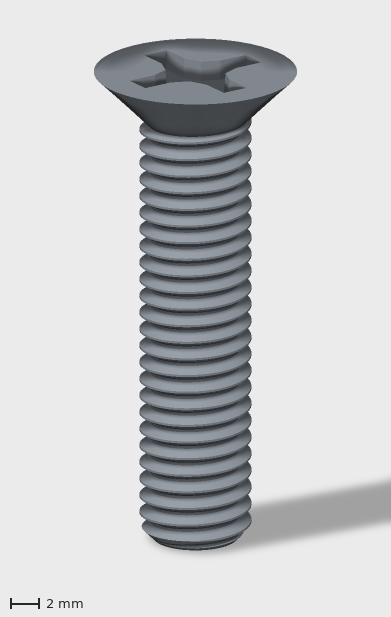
import cadquery as cq
import math

length = 35.0
head_radius = 7.25
thread_radius = 4.0

pitches_in_length = 28
pitch = length / pitches_in_length
crest_flat = pitch / 8
root_flat = pitch / 6
flank_angle = math.radians(30)
thread_depth = (pitch - crest_flat - root_flat) / 2 / math.tan(flank_angle)
root_radius = thread_radius - thread_depth
first_crest_height = 1.1
ridge_inset = 0.1

head_height = head_radius - root_radius
head_base = length - head_height
shank_top = head_base + 0.88
tip_chamfer = 0.98
trim_margin = 0.7

recess_depth = 1.4
arm_reach = 5.0
arm_half_width = 0.98
arm_root = 2.85
inner_corner = 1.55
wall_lean = 0.088


def thread_ridge():
    """Helical ridge that runs past both ends of the shank."""
    start = first_crest_height - 2 * pitch
    turns = math.ceil((shank_top + pitch - start) / pitch)
    helix = cq.Wire.makeHelix(pitch, turns * pitch, root_radius).translate(cq.Vector(0, 0, start))
    half_crest = crest_flat / 2
    half_foot = (pitch - root_flat) / 2 + ridge_inset * math.tan(flank_angle)
    foot_radius = root_radius - ridge_inset
    profile = (
        cq.Workplane("XZ")
        .polyline([
            (foot_radius, start - half_foot),
            (thread_radius, start - half_crest),
            (thread_radius, start + half_crest),
            (foot_radius, start + half_foot),
        ])
        .close()
    )
    return profile.sweep(cq.Workplane(helix), isFrenet=True)


def threaded_shank():
    """Core and ridge, trimmed to length with a 45 degree chamfer at the tip."""
    overrun = 4 * pitch
    core = (
        cq.Workplane("XY")
        .workplane(offset=-overrun)
        .circle(root_radius)
        .extrude(shank_top + 2 * overrun)
    )
    trim = (
        cq.Workplane("XY")
        .circle(thread_radius + trim_margin)
        .extrude(shank_top)
        .faces("<Z")
        .chamfer(tip_chamfer + trim_margin)
    )
    core = core.rotate((0, 0, 0), (0, 0, 1), 180)
    trim = trim.rotate((0, 0, 0), (0, 0, 1), 180)
    return core.union(thread_ridge()).intersect(trim)


def countersunk_cone():
    return (
        cq.Workplane("XZ")
        .polyline([(0, head_base), (root_radius, head_base), (head_radius, length), (0, length)])
        .close()
        .revolve(360, (0, 0), (0, 1))
    )


def cross_outline(lean):
    """Points of the cross, with the side walls moved inward by lean."""
    half_width = arm_half_width - lean
    corner = inner_corner - lean
    arm = [
        (arm_reach, -half_width),
        (arm_reach, half_width),
        (arm_root - lean, half_width),
        (corner, corner),
        (half_width, arm_root - lean),
    ]
    outline = []
    for _ in range(4):
        outline += arm
        arm = [(-y, x) for x, y in arm]
    return outline


def cross_recess():
    return (
        cq.Workplane("XY")
        .workplane(offset=length)
        .polyline(cross_outline(0))
        .close()
        .workplane(offset=-recess_depth)
        .polyline(cross_outline(wall_lean))
        .close()
        .loft(ruled=True)
    )


head = countersunk_cone().cut(cross_recess())
result = threaded_shank().union(head)